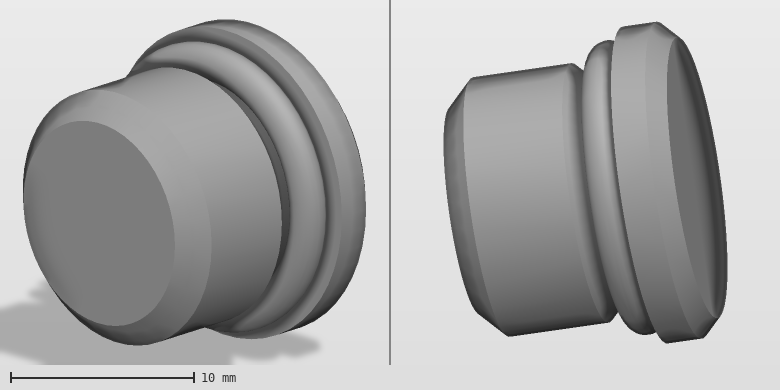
import cadquery as cq
import math

plug_length = 12.9
head_diameter = 17.45
head_thickness = 2.9
head_chamfer = 1.0
neck_diameter = 12.23
shank_diameter = 14.3
shank_length = 7.95
tip_chamfer = 1.41
neck_fillet = 0.4

ring_section_diameter = 1.99

head_radius = head_diameter / 2
neck_radius = neck_diameter / 2
shank_radius = shank_diameter / 2
shank_chamfer = shank_radius - neck_radius
head_underside = plug_length - head_thickness
fillet_tangent_length = neck_fillet * math.tan(math.radians(45 / 2))
fillet_chamfer_offset = fillet_tangent_length * math.cos(math.radians(45))
ring_section_radius = ring_section_diameter / 2
ring_center_radius = neck_radius + ring_section_radius
ring_center_y = head_underside - ring_section_radius


def revolve_about_y(profile):
    """Full turn of a profile in the XY plane about the Y axis."""
    return profile.revolve(360, (0, 0, 0), (0, 1, 0))


def make_plug():
    """Chamfered head, neck groove and shank, turned as one profile from the tip up."""
    profile = (
        cq.Workplane("XY")
        .lineTo(shank_radius - tip_chamfer, 0)
        .lineTo(shank_radius, tip_chamfer)
        .lineTo(shank_radius, shank_length - shank_chamfer)
        .lineTo(neck_radius + fillet_chamfer_offset, shank_length - fillet_chamfer_offset)
        .tangentArcPoint((neck_radius, shank_length + fillet_tangent_length), relative=False)
        .lineTo(neck_radius, head_underside)
        .lineTo(head_radius, head_underside)
        .lineTo(head_radius, plug_length - head_chamfer)
        .lineTo(head_radius - head_chamfer, plug_length)
        .lineTo(0, plug_length)
        .close()
    )
    return revolve_about_y(profile)


def make_sealing_ring():
    """Round-section ring whose bore rests on the neck."""
    section = cq.Workplane("XY").moveTo(ring_center_radius, ring_center_y).circle(ring_section_radius)
    return revolve_about_y(section)


plug = make_plug()
sealing_ring = make_sealing_ring()

result = cq.Compound.makeCompound([plug.val(), sealing_ring.val()])